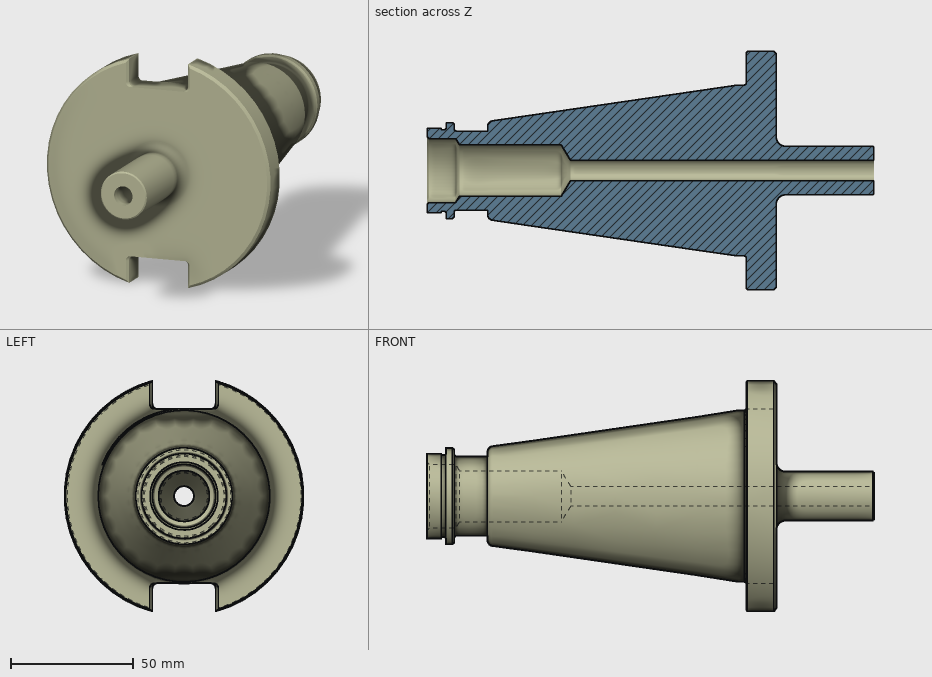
import cadquery as cq
import math

total_length = 182.0
collar_end = 5.8
rim_start = 7.6
rim_end = 11.1
cone_start = 24.5
cone_end = 126.7
flange_start = 130.0
flange_end = 142.3

collar_radius = 17.3
groove_radius = 16.7
rim_radius = 19.7
neck_radius = 16.2
cone_large_radius = 35.0
flange_diameter = 97.4
flange_radius = flange_diameter / 2
shank_radius = 10.0

taper_slope = 7 / 48
cone_small_radius = cone_large_radius - taper_slope * (cone_end - cone_start)

groove_fillet = 0.5
rim_chamfer = 0.7
neck_fillet = 1.0
cone_nose_fillet = 2.5
seat_fillet = 0.7
flange_front_chamfer = 0.5
flange_rear_chamfer = 1.1
shank_root_fillet = 3.6
shank_end_chamfer = 0.5

slot_width = 25.7
slot_floor_height = 35.5
slot_floor_fillet = 2.0
slot_flare = 1.1

bore_radius = 13.0
mouth_chamfer = 1.0
bore_depth = 11.6
thread_radius = 10.4
thread_depth = 54.6
through_radius = 4.0
drill_half_angle = math.radians(59)


def revolve_about_x(profile):
    """Close an XY profile and turn it about the X axis."""
    return profile.close().revolve(360, (0, 0, 0), (1, 0, 0))


def fillet_circle(body, x, radius, fillet_radius):
    """Round the circular edge that has the given position and radius."""
    margin = 0.1
    outer = radius + margin
    near_plane = cq.selectors.BoxSelector(
        (x - margin, -outer, -outer), (x + margin, outer, outer), boundingbox=True
    )
    largest_circle = cq.selectors.RadiusNthSelector(-1)
    return body.edges(near_plane).edges(largest_circle).fillet(fillet_radius)


def make_body():
    """Solid of revolution: collar, rim, neck, cone, flange and shank."""
    profile = (
        cq.Workplane("XY")
        .lineTo(0, collar_radius)
        .lineTo(collar_end, collar_radius)
        .lineTo(collar_end, groove_radius)
        .lineTo(rim_start, groove_radius)
        .lineTo(rim_start, rim_radius)
        .lineTo(rim_end - rim_chamfer, rim_radius)
        .lineTo(rim_end, rim_radius - rim_chamfer)
        .lineTo(rim_end, neck_radius)
        .lineTo(cone_start, neck_radius)
        .lineTo(cone_start, cone_small_radius)
        .lineTo(cone_end, cone_large_radius)
        .lineTo(flange_start, cone_large_radius)
        .lineTo(flange_start, flange_radius - flange_front_chamfer)
        .lineTo(flange_start + flange_front_chamfer, flange_radius)
        .lineTo(flange_end - flange_rear_chamfer, flange_radius)
        .lineTo(flange_end, flange_radius - flange_rear_chamfer)
        .lineTo(flange_end, shank_radius)
        .lineTo(total_length - shank_end_chamfer, shank_radius)
        .lineTo(total_length, shank_radius - shank_end_chamfer)
        .lineTo(total_length, 0)
    )
    body = revolve_about_x(profile)
    body = fillet_circle(body, rim_start, groove_radius, groove_fillet)
    body = fillet_circle(body, rim_end, neck_radius, neck_fillet)
    body = fillet_circle(body, cone_start, cone_small_radius, cone_nose_fillet)
    body = fillet_circle(body, flange_start, cone_large_radius, seat_fillet)
    return fillet_circle(body, flange_end, shank_radius, shank_root_fillet)


def make_bore():
    """Chamfered counterbore and plain thread-size hole with drill-point floors, then a through hole."""
    point_slope = math.tan(drill_half_angle)
    bore_point = (bore_radius - thread_radius) / point_slope
    thread_point = (thread_radius - through_radius) / point_slope
    profile = (
        cq.Workplane("XY")
        .lineTo(0, bore_radius + mouth_chamfer)
        .lineTo(mouth_chamfer, bore_radius)
        .lineTo(bore_depth, bore_radius)
        .lineTo(bore_depth + bore_point, thread_radius)
        .lineTo(thread_depth, thread_radius)
        .lineTo(thread_depth + thread_point, through_radius)
        .lineTo(total_length, through_radius)
        .lineTo(total_length, 0)
    )
    return revolve_about_x(profile)


def slot_section(x, half_width):
    """Cross-section of the upper slot at station x, with rounded floor corners."""
    corner_height = slot_floor_height + slot_floor_fillet
    floor_half_width = half_width - slot_floor_fillet
    return (
        cq.Workplane("YZ", origin=(x, 0, 0))
        .moveTo(-half_width, flange_radius)
        .lineTo(-half_width, corner_height)
        .radiusArc((-floor_half_width, slot_floor_height), -slot_floor_fillet)
        .lineTo(floor_half_width, slot_floor_height)
        .radiusArc((half_width, corner_height), -slot_floor_fillet)
        .lineTo(half_width, flange_radius)
        .close()
        .val()
    )


def make_slot():
    """Upper drive slot, flared at both flange faces to chamfer its walls."""
    half_width = slot_width / 2
    flared_half_width = half_width + slot_flare
    sections = [
        slot_section(flange_start, flared_half_width),
        slot_section(flange_start + flange_front_chamfer, half_width),
        slot_section(flange_end - flange_rear_chamfer, half_width),
        slot_section(flange_end, flared_half_width),
    ]
    return cq.Workplane(cq.Solid.makeLoft(sections, True))


upper_slot = make_slot()
lower_slot = upper_slot.rotate((0, 0, 0), (1, 0, 0), 180)
result = make_body().cut(upper_slot).cut(lower_slot).cut(make_bore())